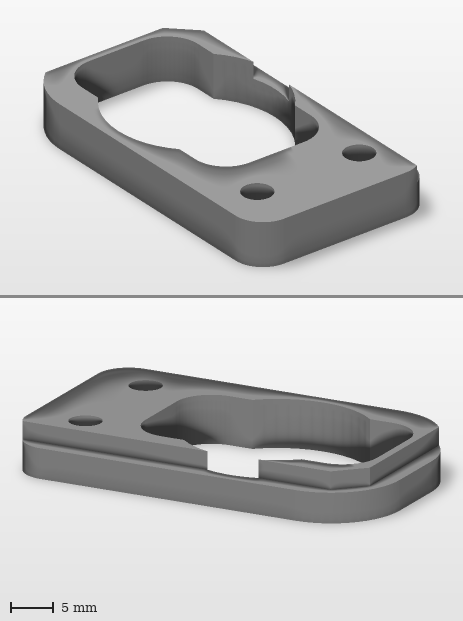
import cadquery as cq

length = 46.5
width = 26.0
height = 6.0
left_corner_radius = 9.0
right_corner_radius = 4.0

window_left_wall = 3.0
window_length = 30.5
window_width = 17.0
window_corner_radius = 4.5
round_opening_radius = 11.5

hole_diameter = 4.0
hole_spacing = 15.0
hole_end_distance = 7.0

rebate_width = 2.0
rebate_depth = 2.25
rebate_corner_chamfer = 3.4

window_center_x = window_left_wall + window_length / 2
hole_x = length - hole_end_distance


def make_plate():
    plate = cq.Workplane("XY").box(length, width, height, centered=(False, True, False))
    plate = plate.edges("|Z and <X").fillet(left_corner_radius)
    return plate.edges("|Z and >X").fillet(right_corner_radius)


def make_window():
    base = cq.Workplane("XY").center(window_center_x, 0)
    rectangle = base.rect(window_length, window_width).extrude(height)
    rectangle = rectangle.edges("|Z").fillet(window_corner_radius)
    return rectangle.union(base.circle(round_opening_radius).extrude(height))


def make_holes():
    hole_points = [(hole_x, side * hole_spacing / 2) for side in (-1, 1)]
    return cq.Workplane("XY").pushPoints(hole_points).circle(hole_diameter / 2).extrude(height)


def make_rebate():
    """Everything above the rebate floor except the raised area, whose -X +Y corner is chamfered."""
    layer = cq.Workplane("XY", origin=(0, 0, height - rebate_depth))
    blank = layer.rect(2 * length, width).extrude(rebate_depth)
    raised = (
        layer.center(rebate_width, -width / 2)
        .rect(length - rebate_width, width - rebate_width, centered=False)
        .extrude(rebate_depth)
        .edges("|Z and <X and >Y")
        .chamfer(rebate_corner_chamfer)
    )
    return blank.cut(raised)


result = make_plate().cut(make_window()).cut(make_holes()).cut(make_rebate())